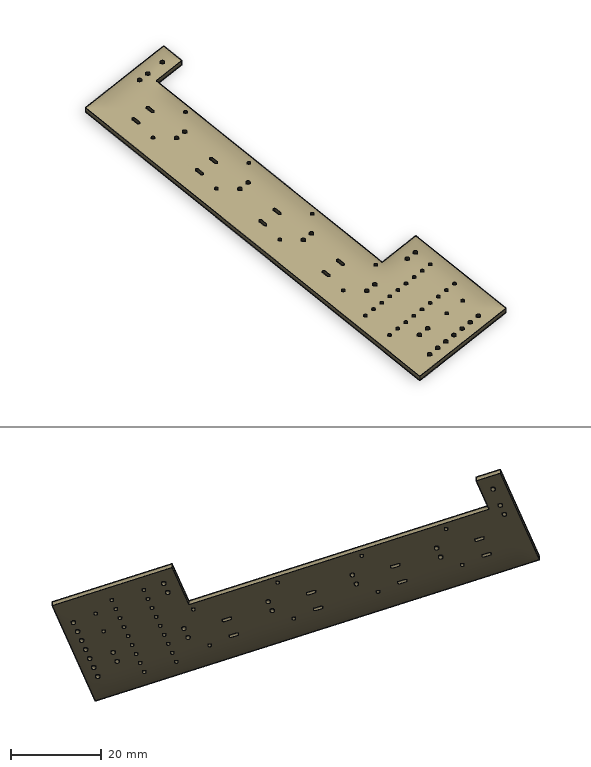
import cadquery as cq

LENGTH = 105.5
WIDTH = 27.0
THICKNESS = 1.6
ARM_WIDTH = 5.75
ARM_TOP = 24.5
STRIP_TOP = 16.5
HEAD_LEFT = 77.0

SMALL_HOLE = 0.8
LARGE_HOLE = 1.0
SLOT_LENGTH = 2.2
SLOT_WIDTH = 0.7

PITCH = 2.54
ROW_SPACING = 3 * PITCH
CELL_PITCH = 20.0

CELL_COUNT = 4
SLOT_X = 10.5
SLOT_ROWS = (5.4, 9.85)
MOUNT_X = 16.5
MOUNT_Y = 4.8
MOUNT_SPACING = 4 * PITCH
PAIR_X = 20.25
PAIR_Y = 8.43
PAIR_COUNT = 3

ARM_HOLE_X = 3.0
ARM_PAIR_Y = 14.0
ARM_SINGLE_Y = 21.1

TERMINAL_X = 80.25
TERMINAL_PAIR_Y = (PAIR_Y, PAIR_Y + 5 * PITCH)
MODULE_X = 84.95
MODULE_Y = 3.35
MODULE_PINS = 9
PART_X = 97.2
PART_PAIR_Y = 8.1
PART_SMALL_Y = (16.6, 21.6)
HEADER_X = 102.65
HEADER_Y = 5.87
HEADER_PINS = 7


def column(x, first_y, count, spacing=PITCH):
    """Centres of a column of evenly spaced holes."""
    return [(x, first_y + i * spacing) for i in range(count)]


def drill(body, centres, diameter):
    """Drill round holes through the plate."""
    cutters = cq.Workplane("XY").pushPoints(centres).circle(diameter / 2).extrude(THICKNESS)
    return body.cut(cutters)


def make_plate():
    """Long strip with a short arm at the left end and a wide head at the right end."""
    outline = [
        (0, 0),
        (LENGTH, 0),
        (LENGTH, WIDTH),
        (HEAD_LEFT, WIDTH),
        (HEAD_LEFT, STRIP_TOP),
        (ARM_WIDTH, STRIP_TOP),
        (ARM_WIDTH, ARM_TOP),
        (0, ARM_TOP),
    ]
    return cq.Workplane("XY").polyline(outline).close().extrude(THICKNESS)


def cut_cells(body):
    """Two slots and two mounting holes per cell, with a pin pair between neighbouring cells."""
    slots = []
    mounts = []
    pairs = []
    for cell in range(CELL_COUNT):
        shift = cell * CELL_PITCH
        slots += [(SLOT_X + shift, y) for y in SLOT_ROWS]
        mounts += column(MOUNT_X + shift, MOUNT_Y, 2, MOUNT_SPACING)
    for cell in range(PAIR_COUNT):
        pairs += column(PAIR_X + cell * CELL_PITCH, PAIR_Y, 2)
    slot_cutters = cq.Workplane("XY").pushPoints(slots).slot2D(SLOT_LENGTH, SLOT_WIDTH).extrude(THICKNESS)
    body = body.cut(slot_cutters)
    body = drill(body, mounts, SMALL_HOLE)
    return drill(body, pairs, LARGE_HOLE)


def cut_arm_holes(body):
    """A pin pair and a single pin hole in the left arm."""
    centres = column(ARM_HOLE_X, ARM_PAIR_Y, 2) + [(ARM_HOLE_X, ARM_SINGLE_Y)]
    return drill(body, centres, LARGE_HOLE)


def cut_head_holes(body):
    """Terminal pairs, a two-row module footprint, a four-hole column and a pin header."""
    large = column(PART_X, PART_PAIR_Y, 2) + column(HEADER_X, HEADER_Y, HEADER_PINS)
    for y in TERMINAL_PAIR_Y:
        large += column(TERMINAL_X, y, 2)
    small = [(PART_X, y) for y in PART_SMALL_Y]
    for x in (MODULE_X, MODULE_X + ROW_SPACING):
        small += column(x, MODULE_Y, MODULE_PINS)
    return drill(drill(body, large, LARGE_HOLE), small, SMALL_HOLE)


result = cut_head_holes(cut_arm_holes(cut_cells(make_plate())))